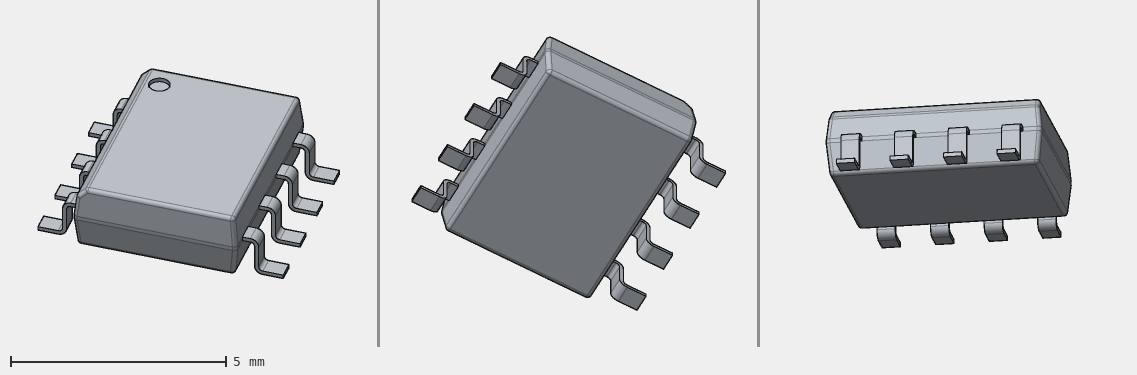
import cadquery as cq
import math

span_x = 6.0
body_x = 4.0
body_y = 5.1
total_height = 1.75

standoff = 0.1
taper_angle = 6.0
edge_radius = 0.1
bevel_size = 0.24

mark_diameter = 0.5
mark_depth = 0.1
mark_x = -1.33
mark_y = 1.885

lead_thickness = 0.1
lead_width = 0.43
lead_pitch = 1.265
leads_per_side = 4
side_turns = (0, 180)
foot_end_to_shank = 0.6
bend_inner_radius = 0.1

match_tolerance = 0.0005

body_height = total_height - standoff
band_bottom = standoff + (body_height - lead_thickness) / 2
band_top = band_bottom + lead_thickness
half_height = total_height - band_top
taper_slope = math.tan(math.radians(taper_angle))
top_inset = half_height * taper_slope
bend_outer_radius = bend_inner_radius + lead_thickness


def make_tapered_block(base_z, height):
    """Block that narrows on all four sides as it leaves the band; a negative height goes down."""
    outline = cq.Workplane("XY", origin=(0, 0, base_z)).rect(body_x, body_y)
    return outline.extrude(height, taper=taper_angle)


def make_bevel_cutter():
    """Wedge that takes a 45 degree bevel off the upper -X edge."""
    top_edge_x = -body_x / 2 + top_inset
    side_x = top_edge_x - bevel_size * taper_slope
    profile = (
        cq.Workplane("XZ", origin=(0, body_y / 2, 0))
        .moveTo(side_x + bevel_size, total_height)
        .lineTo(side_x - bevel_size, total_height - 2 * bevel_size)
        .lineTo(side_x - bevel_size, total_height)
        .close()
    )
    return profile.extrude(body_y)


def is_band_edge(edge):
    """True for the horizontal edges where the band meets the tapered blocks."""
    edge_z = edge.Center().z
    return min(abs(edge_z - band_top), abs(edge_z - band_bottom)) < match_tolerance


def make_pin_one_mark():
    """Cutter for the shallow round recess in the top face."""
    outline = cq.Workplane("XY", origin=(mark_x, mark_y, total_height)).circle(mark_diameter / 2)
    return outline.extrude(-mark_depth)


def make_housing():
    """Straight band between two tapered blocks, bevelled, rounded and marked at pin one."""
    housing = cq.Workplane("XY", origin=(0, 0, band_bottom)).rect(body_x, body_y).extrude(lead_thickness)
    housing = housing.union(make_tapered_block(band_top, half_height))
    housing = housing.union(make_tapered_block(band_bottom, -half_height))
    housing = housing.cut(make_bevel_cutter())
    rounded_edges = [edge for edge in housing.edges().vals() if not is_band_edge(edge)]
    housing = housing.newObject(rounded_edges).fillet(edge_radius)
    return housing.cut(make_pin_one_mark())


def make_lead(y_centre, turn):
    """Gull-wing lead on the -X side, turned about Z by the given angle."""
    tip_x = -span_x / 2
    outer_x = tip_x + foot_end_to_shank
    inner_x = outer_x + lead_thickness
    root_x = -body_x / 2
    foot_centre = (inner_x - bend_outer_radius, bend_outer_radius)
    shoulder_centre = (outer_x + bend_outer_radius, band_top - bend_outer_radius)
    diagonal = math.sqrt(0.5)

    def on_foot_bend(radius):
        offset = radius * diagonal
        return (foot_centre[0] + offset, foot_centre[1] - offset)

    def on_shoulder_bend(radius):
        offset = radius * diagonal
        return (shoulder_centre[0] - offset, shoulder_centre[1] + offset)

    lead = (
        cq.Workplane("XZ", origin=(0, y_centre + lead_width / 2, 0))
        .moveTo(tip_x, 0)
        .lineTo(foot_centre[0], 0)
        .threePointArc(on_foot_bend(bend_outer_radius), (inner_x, foot_centre[1]))
        .lineTo(inner_x, shoulder_centre[1])
        .threePointArc(on_shoulder_bend(bend_inner_radius), (shoulder_centre[0], band_bottom))
        .lineTo(root_x, band_bottom)
        .lineTo(root_x, band_top)
        .lineTo(shoulder_centre[0], band_top)
        .threePointArc(on_shoulder_bend(bend_outer_radius), (outer_x, shoulder_centre[1]))
        .lineTo(outer_x, foot_centre[1])
        .threePointArc(on_foot_bend(bend_inner_radius), (foot_centre[0], lead_thickness))
        .lineTo(tip_x, lead_thickness)
        .close()
        .extrude(lead_width)
    )
    return lead.rotate((0, 0, 0), (0, 0, 1), turn)


housing = make_housing()

leads = []
for turn in side_turns:
    for index in range(leads_per_side):
        y_centre = (index - (leads_per_side - 1) / 2) * lead_pitch
        leads.append(make_lead(y_centre, turn).val())

result = cq.Compound.makeCompound([housing.val(), *leads])